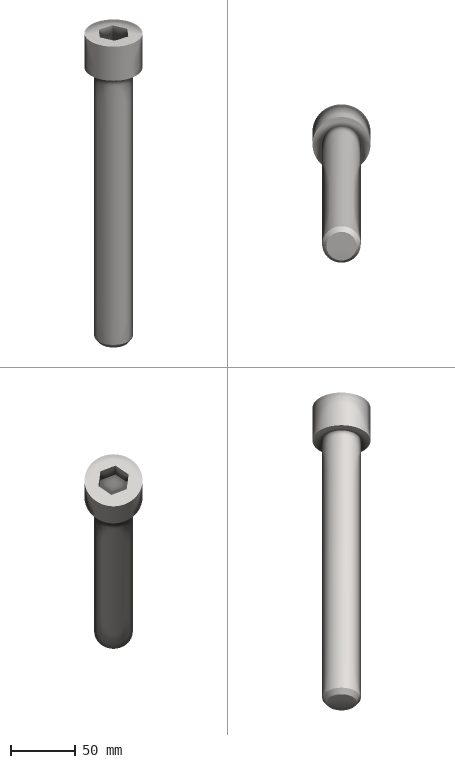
import cadquery as cq
import math

total_length = 270.0
head_diameter = 45.0
shank_diameter = 30.0
head_height = shank_diameter
shank_length = total_length - head_height

socket_across_flats = 22.1
socket_depth = 15.5

point_height = 4.0
point_inset = 3.2


def make_head():
    return cq.Workplane("XY").circle(head_diameter / 2).extrude(head_height)


def make_shank():
    shank = cq.Workplane("XY").circle(shank_diameter / 2).extrude(-shank_length)
    return shank.faces("<Z").chamfer(point_height, point_inset)


def make_socket():
    across_corners = socket_across_flats / math.cos(math.pi / 6)
    top_plane = cq.Workplane("XY").workplane(offset=head_height)
    return top_plane.polygon(6, across_corners).extrude(-socket_depth)


result = make_head().union(make_shank()).cut(make_socket())